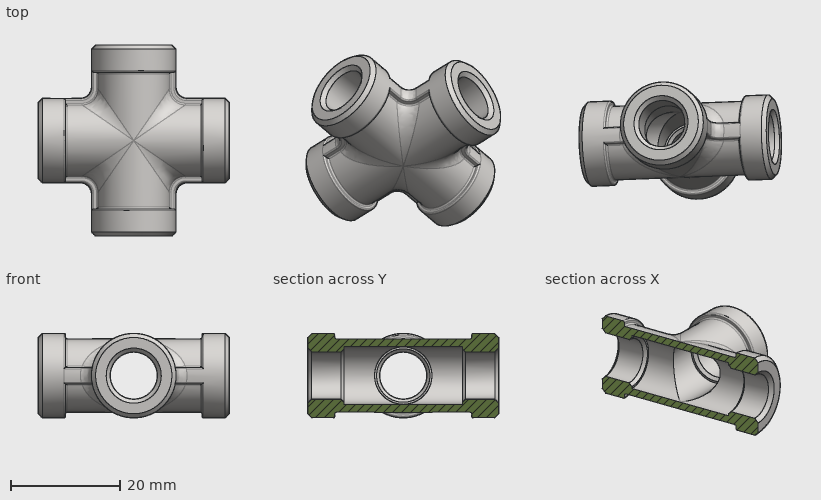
import cadquery as cq

span = 35.0
collar_dia = 15.5
collar_length = 5.0
tube_dia = 13.5
bore_dia = 8.58
throat_length = 6.1
channel_dia = 10.5
throat_chamfer = 0.6
mouth_dia = 10.08
rim_chamfer = 0.77
web_thickness = 3.0
web_corner_radius = 2.0
edge_round = 0.298

half_span = span / 2
collar_radius = collar_dia / 2
tube_radius = tube_dia / 2
shoulder = half_span - collar_length
bar_reach = shoulder + edge_round
bore_radius = bore_dia / 2
mouth_chamfer = mouth_dia / 2 - bore_radius
channel_radius = channel_dia / 2
channel_end = half_span - throat_length
tube_corner_radius = collar_radius + web_corner_radius - tube_radius

quarter_turns = (0, 90, 180, 270)
touch_tolerance = 0.005


def turned(shape, angle):
    """The shape turned about the Z axis."""
    return shape.rotate((0, 0, 0), (0, 0, 1), angle)


def on_all_arms(arm):
    """Four copies of a solid that lies on the +X arm."""
    copies = cq.Workplane("XY")
    for angle in quarter_turns:
        copies = copies.add(turned(arm, angle))
    return copies.combine()


def cross(diameter):
    """Two equal round bars crossing at the origin, long enough to pass the rounded collar rims."""
    bar = cq.Workplane("YZ").circle(diameter / 2).extrude(bar_reach, both=True)
    return bar.union(turned(bar, 90))


def edges_within(shape, reach):
    """Edges whose midpoint lies inside a square of the given half width about the Z axis."""
    corner = (reach, reach, span)
    opposite = (-reach, -reach, -span)
    return shape.edges(cq.selectors.BoxSelector(opposite, corner))


def tubes():
    """The crossing tubes, with blends that fade out at the top and bottom of the crossing."""
    return edges_within(cross(tube_dia), tube_radius).fillet(tube_corner_radius)


def web():
    """The thin plate that fills the corners flush with the collars, with rounded long edges."""
    plate = cross(collar_dia).intersect(cq.Workplane("XY").box(span, span, web_thickness))
    plate = edges_within(plate, collar_radius).fillet(web_corner_radius)
    return plate.faces("<Z or >Z").edges("not(<X or >X or <Y or >Y)").fillet(edge_round)


def collar():
    """The thick end of the arm that points along +X."""
    half_section = cq.Workplane("XZ").moveTo(shoulder, 0).rect(collar_length, collar_radius, centered=False)
    ring = half_section.revolve(360, (-shoulder, 0), (0, 0))
    return ring.faces(">X").chamfer(rim_chamfer).faces("<X").edges().fillet(edge_round)


def passage():
    """The bore of the +X arm: a wide inner channel, a narrower throat and a flared mouth."""
    outline = [
        (0, 0),
        (0, channel_radius),
        (channel_end - throat_chamfer, channel_radius),
        (channel_end - throat_chamfer, bore_radius + throat_chamfer),
        (channel_end, bore_radius),
        (half_span - mouth_chamfer, bore_radius),
        (half_span, mouth_dia / 2),
        (half_span, 0),
    ]
    return cq.Workplane("XZ").polyline(outline).close().revolve(360, (0, 0), (1, 0))


def joint_edges(shape, first, second):
    """Edges of a shape that run along the joint of two of its parts."""
    along_joint = []
    for edge in shape.edges().vals():
        middle = cq.Vertex.makeVertex(*edge.positionAt(0.5).toTuple())
        gaps = [part.val().distance(middle) for part in (first, second)]
        if max(gaps) < touch_tolerance:
            along_joint.append(edge)
    return shape.newObject(along_joint)


core = tubes()
frame = web().union(on_all_arms(collar()))
body = core.union(frame).clean()
body = joint_edges(body, core, frame).fillet(edge_round)
result = body.cut(on_all_arms(passage()))